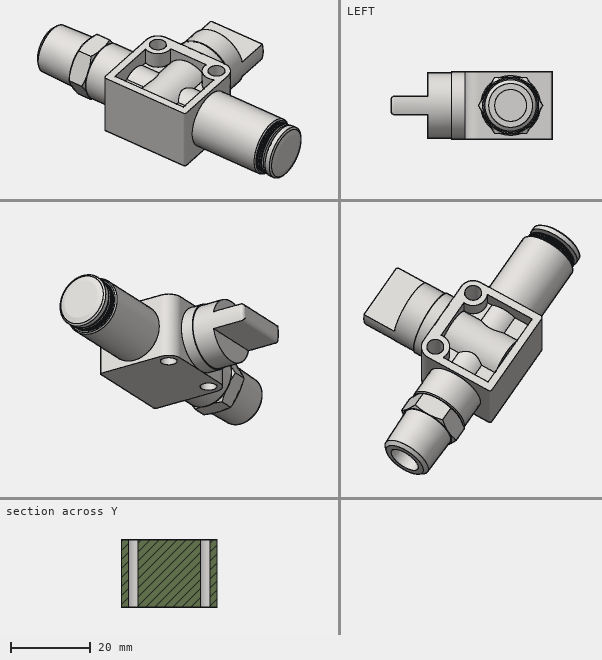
import cadquery as cq
import math


body_length = 25.0
body_height = 17.0
body_front_y = -10.5
body_back_y = 11.5
wall = 2.0
front_edge_round = 0.6

mount_hole_d = 4.2
mount_hole_x = 9.0
corner_round = body_length / 2 - mount_hole_x
mount_hole_y = body_back_y - corner_round
boss_r = 3.6

pocket_floor_z = 4.1
pocket_back_y = 8.5
valve_core_d = 13.5
valve_core_front_y = -7.5
flow_core_d = 10.65
pocket_length = body_length - 2 * wall
pocket_front_y = body_front_y + wall

collar_d = 17.0
collar_end_y = 14.8
knob_d = 16.5
grip_start_y = 20.8
grip_end_y = 30.0
grip_thickness = 4.7
grip_round = 0.9

arm_d = 15.0
arm_left_x = -20.5
arm_left_chamfer = 0.3
arm_right_x = 31.9
arm_right_chamfer = 0.35

hex_across_flats = 14.0
hex_left_x = -25.5
hex_length = arm_left_x - hex_left_x
hex_face_d = 14.1
hex_chamfer_length = 0.55

thread_left_x = -36.5
thread_large_d = 13.5
thread_taper = 1 / 16
thread_chamfer = 0.9
thread_bore_d = 8.0
thread_bore_depth = 16.0

sleeve_d = 13.5
sleeve_end_x = 33.7
sleeve_groove_depth = 0.25
sleeve_groove_width = 0.4
sleeve_groove_centers = (32.25, 32.85)
sleeve_taper_x = 33.35
sleeve_end_d = 13.1
neck_d = 10.1
ring_d = 13.8
ring_start_x = 34.5
ring_rim_x = 35.8
ring_bevel_x = 36.15
ring_bevel_d = 12.8
ring_end_x = 36.5
ring_end_d = 10.0


def rod_x(diameter, x_start, x_end):
    """Cylinder along the flow axis."""
    return cq.Workplane("YZ", origin=(x_start, 0, 0)).circle(diameter / 2).extrude(x_end - x_start)


def rod_y(diameter, y_start, y_end):
    """Cylinder along the knob axis."""
    return cq.Workplane("XZ", origin=(0, y_start, 0)).circle(diameter / 2).extrude(y_start - y_end)


def turned_x(profile):
    """Solid turned about the flow axis from (x, radius) points, closed along the axis."""
    points = [(profile[0][0], 0)] + profile + [(profile[-1][0], 0)]
    return cq.Workplane("XY").polyline(points).close().revolve(360, (0, 0, 0), (1, 0, 0))


def make_block():
    """Solid body block with its four upright edges rounded."""
    depth = body_back_y - body_front_y
    center_y = (body_back_y + body_front_y) / 2
    block = cq.Workplane("XY").box(body_length, depth, body_height).translate((0, center_y, 0))
    block = block.edges("|Z and >Y").fillet(corner_round)
    return block.edges("|Z and <Y").fillet(front_edge_round)


def mount_posts(diameter):
    """Upright cylinders at both mounting holes, as tall as the body."""
    return (
        cq.Workplane("XY", origin=(0, 0, -body_height / 2))
        .pushPoints([(-mount_hole_x, mount_hole_y), (mount_hole_x, mount_hole_y)])
        .circle(diameter / 2)
        .extrude(body_height)
    )


def make_pocket():
    """Volume removed from the top: a rectangle less the hole bosses and the round cores."""
    depth = pocket_back_y - pocket_front_y
    pocket = (
        cq.Workplane("XY", origin=(0, (pocket_back_y + pocket_front_y) / 2, pocket_floor_z))
        .rect(pocket_length, depth)
        .extrude(body_height / 2 - pocket_floor_z)
    )
    pocket = pocket.cut(mount_posts(2 * boss_r))
    pocket = pocket.cut(rod_y(valve_core_d, valve_core_front_y, pocket_back_y))
    pocket = pocket.cut(rod_y(flow_core_d, pocket_front_y, pocket_back_y))
    return pocket.cut(rod_x(flow_core_d, -pocket_length / 2, pocket_length / 2))


def make_knob():
    """Round knob that narrows to a flat grip with rounded end edges."""
    collar = rod_y(collar_d, body_back_y, collar_end_y)
    hub = rod_y(knob_d, collar_end_y, grip_start_y)
    slab = cq.Workplane("XY").box(knob_d, 2 * grip_end_y, grip_thickness)
    grip = rod_y(knob_d, collar_end_y, grip_end_y).intersect(slab)
    grip = grip.faces(">Y").edges().fillet(grip_round)
    return collar.union(hub).union(grip)


def make_arms():
    """Tube that crosses the body, chamfered at both ends."""
    arm_r = arm_d / 2
    return turned_x([
        (arm_left_x, arm_r - arm_left_chamfer),
        (arm_left_x + arm_left_chamfer, arm_r),
        (arm_right_x - arm_right_chamfer, arm_r),
        (arm_right_x, arm_r - arm_right_chamfer),
    ])


def make_hex():
    """Hex with corners on +Y and -Y, trimmed by a cone at each end."""
    corner_d = hex_across_flats / math.cos(math.pi / 6)
    prism = cq.Workplane("YZ", origin=(hex_left_x, 0, 0)).polygon(6, corner_d).extrude(hex_length)
    trim = turned_x([
        (hex_left_x, hex_face_d / 2),
        (hex_left_x + hex_chamfer_length, corner_d / 2),
        (arm_left_x - hex_chamfer_length, corner_d / 2),
        (arm_left_x, hex_face_d / 2),
    ])
    return prism.intersect(trim)


def make_thread():
    """Tapered stub, narrower and chamfered at its free end."""
    large_r = thread_large_d / 2
    length = hex_left_x - thread_left_x
    end_r = large_r - length * thread_taper / 2
    rim_r = end_r + thread_chamfer * thread_taper / 2
    return turned_x([
        (thread_left_x, end_r - thread_chamfer),
        (thread_left_x + thread_chamfer, rim_r),
        (hex_left_x, large_r),
    ])


def make_sleeve():
    """Sleeve with shallow V grooves and a tapered end."""
    sleeve_r = sleeve_d / 2
    profile = [(arm_right_x, sleeve_r)]
    for center in sleeve_groove_centers:
        profile.append((center - sleeve_groove_width / 2, sleeve_r))
        profile.append((center, sleeve_r - sleeve_groove_depth))
        profile.append((center + sleeve_groove_width / 2, sleeve_r))
    profile += [
        (sleeve_taper_x, sleeve_r),
        (sleeve_end_x, sleeve_end_d / 2),
    ]
    return turned_x(profile)


def make_release_ring():
    """Neck and flange with a bevelled, slightly domed end."""
    return turned_x([
        (sleeve_end_x, neck_d / 2),
        (ring_start_x, neck_d / 2),
        (ring_start_x, ring_d / 2),
        (ring_rim_x, ring_d / 2),
        (ring_bevel_x, ring_bevel_d / 2),
        (ring_end_x, ring_end_d / 2),
    ])


result = make_block().union(make_arms()).cut(make_pocket()).cut(mount_posts(mount_hole_d))
for section in (make_knob(), make_hex(), make_thread(), make_sleeve(), make_release_ring()):
    result = result.union(section)

result = result.cut(rod_x(thread_bore_d, thread_left_x, thread_left_x + thread_bore_depth))